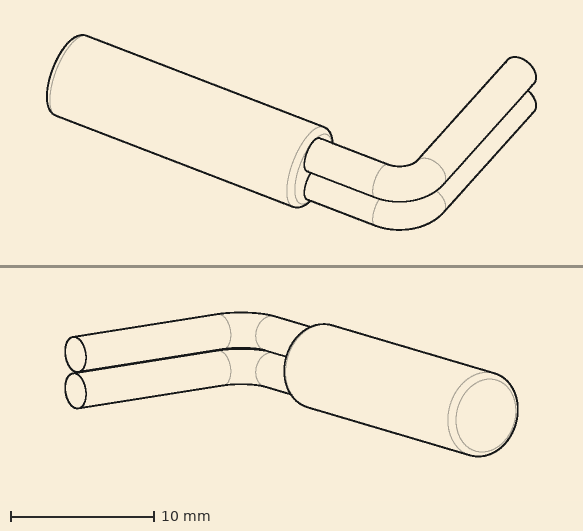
import cadquery as cq

total_length = 29.25
total_depth = 18.0

body_diameter = 6.0
body_length = 20.0
body_edge_radius = 0.4

lead_diameter = 2.5
lead_spacing = 2.6
bend_radius = 2.5

corner_x = total_length - lead_diameter / 2
tip_y = total_depth - body_diameter / 2


def make_body():
    """Solid cylinder with both end edges rounded."""
    cylinder = cq.Workplane("YZ").circle(body_diameter / 2).extrude(body_length)
    return cylinder.edges().fillet(body_edge_radius)


def make_lead(height):
    """Round lead leaving the body along +X, then bent toward +Y."""
    bend_start_x = corner_x - bend_radius
    path = (
        cq.Workplane("XY", origin=(body_length, 0, height))
        .lineTo(bend_start_x - body_length, 0)
        .tangentArcPoint((bend_radius, bend_radius))
        .lineTo(corner_x - body_length, tip_y)
    )
    section = cq.Workplane("YZ", origin=(body_length, 0, height)).circle(lead_diameter / 2)
    return section.sweep(path)


result = make_body()
for side in (-1, 1):
    result = result.union(make_lead(side * lead_spacing / 2))